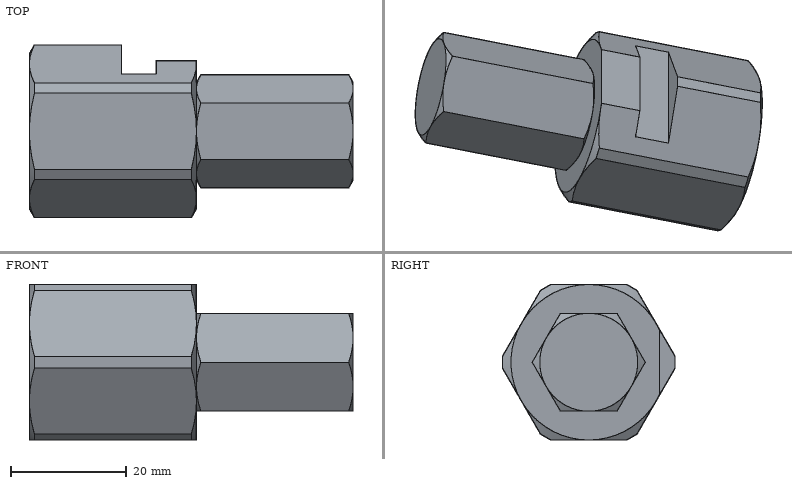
import cadquery as cq
import math

socket_length = 29.0
socket_flats = 27.0
socket_across_corner_cuts = 30.0
bore_diameter = 8.38

slot_start = 16.0
slot_length = 6.0
slot_floor_width = 19.5
land_width = 11.5

stud_length = 27.2
stud_flats = 17.0

chamfer_angle = 30.0


def corner_diameter(flats):
    """Diameter of the circle through the corners of a hexagon."""
    return flats / math.cos(math.radians(30))


def hex_bar(x_start, length, flats):
    """Hexagonal bar along X with two of its corners on the Y axis."""
    return cq.Workplane("YZ", origin=(x_start, 0, 0)).polygon(6, corner_diameter(flats)).extrude(length)


def chamfer_ends(bar, x_start, length, flats):
    """Cone off both ends of a bar, leaving end faces round and as wide as its flats."""
    flat_radius = flats / 2
    corner_radius = corner_diameter(flats) / 2
    chamfer_length = (corner_radius - flat_radius) * math.tan(math.radians(chamfer_angle))
    x_end = x_start + length
    envelope = (
        cq.Workplane("XY")
        .moveTo(x_start, 0)
        .lineTo(x_start, flat_radius)
        .lineTo(x_start + chamfer_length, corner_radius)
        .lineTo(x_end - chamfer_length, corner_radius)
        .lineTo(x_end, flat_radius)
        .lineTo(x_end, 0)
        .close()
        .revolve(360, (0, 0, 0), (1, 0, 0))
    )
    return bar.intersect(envelope)


def notch_step(x_start, x_end, floor_width):
    """Block that cuts the +Y corner down to a flat floor of the given width."""
    corner_y = corner_diameter(socket_flats) / 2
    step_depth = floor_width / 2 * math.tan(math.radians(30))
    return cq.Workplane("XY", origin=(x_start, corner_y - step_depth, 0)).box(
        x_end - x_start, step_depth, floor_width, centered=(False, False, True)
    )


def make_socket():
    bar = hex_bar(0, socket_length, socket_flats)
    corner_cuts = hex_bar(0, socket_length, socket_across_corner_cuts).rotate((0, 0, 0), (1, 0, 0), 30)
    socket = chamfer_ends(bar.intersect(corner_cuts), 0, socket_length, socket_flats)

    bore = cq.Workplane("YZ").circle(bore_diameter / 2).extrude(socket_length)
    slot_end = slot_start + slot_length
    slot = notch_step(slot_start, slot_end, slot_floor_width)
    land = notch_step(slot_end, socket_length, land_width)
    return socket.cut(bore).cut(slot).cut(land)


def make_stud():
    bar = hex_bar(socket_length, stud_length, stud_flats)
    return chamfer_ends(bar, socket_length, stud_length, stud_flats)


socket = make_socket()
stud = make_stud()

result = cq.Compound.makeCompound([socket.val(), stud.val()])